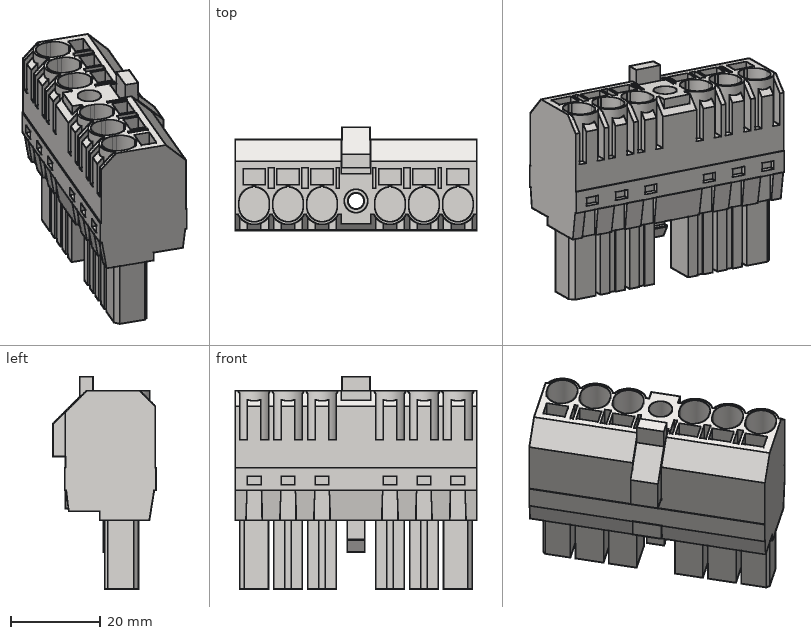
import cadquery as cq


length = 54.25
front_y = 0.0
back_y = 20.2
top_z = 44.6
body_bottom_z = 15.45
front_chamfer = 3.5
back_chamfer = 4.85

belt_proud = 0.2
belt_back_proud = 0.15
belt_bottom_z = 22.2
belt_top_z = 27.3

skirt_inset = 0.2
skirt_taper = 1.1
back_skirt_taper = 0.55
back_step_y = 12.5
back_step_z = 17.45

pole_span = 45.7
pitch = pole_span / 6
pole_positions = [index * pitch for index in (-3, -2, -1, 1, 2, 3)]

funnel_radius = 3.4
funnel_straight = 1.0
funnel_center_y = 5.7
sleeve_radius = 4.0
cavity_depth = 16.25

key_width = 0.8
key_depth = 0.1

relief_width = 6.45
relief_bottom_z = 33.6
tongue_width = 3.05

release_width = 5.0
release_front_y = 10.15
release_back_y = 13.7

marker_slots = [(-19.05, 1.3), (-11.45, 1.4), (-4.1, 0.7), (4.1, 0.7), (11.45, 1.4), (18.75, 0.7)]
marker_front_y = 9.35
marker_back_y = 13.9

window_width = 3.1
window_bottom_z = 23.45
window_top_z = 25.4
window_depth = 1.3

recess_floor_y = 1.85
recess_mouth_width = 3.3
recess_floor_width = 3.7

plug_width = 6.45
plug_front_y = 3.75
plug_back_y = 11.35
plug_front_chamfer = 1.05
plug_back_chamfer = 0.65
groove_width = 1.5
groove_depth = 0.45

center_width = 6.6
block_front_y = 1.3
screw_y = 6.45
screw_diameter = 3.6
screw_head_diameter = 5.25

hook_width = 4.0
hook_back_y = 11.7
hook_arm_y = 10.1
hook_barb_y = 8.95
hook_tip_y = 10.5
hook_bottom_z = 8.3
hook_barb_z = 10.95
hook_ledge_z = 11.25

pad_bottom_z = 18.05

latch_width = 6.3
latch_front_y = 13.95
latch_tab_back_y = 17.0
latch_back_y = 23.0
latch_bottom_z = 29.7
latch_shoulder_z = 37.1
latch_top_z = 47.7
latch_slope_top_z = latch_shoulder_z + latch_back_y - latch_tab_back_y
latch_pocket_front_y = 12.55


def box(x_center, width, y_range, z_range):
    """Box centred on x_center that spans the given ranges in Y and Z."""
    y_min, y_max = y_range
    z_min, z_max = z_range
    corner = (x_center - width / 2, y_min, z_min)
    return cq.Workplane("XY").box(width, y_max - y_min, z_max - z_min, centered=False).translate(corner)


def bar(points, width):
    """Bar along X, centred on X = 0, with a (Y, Z) outline."""
    return cq.Workplane("YZ").polyline(points).close().extrude(width / 2, both=True)


def oval_column(x_center, radius, bottom_z):
    """Upright column with an oval section, from bottom_z to the housing top."""
    return (
        cq.Workplane("XY", origin=(x_center, funnel_center_y, bottom_z))
        .slot2D(2 * radius + funnel_straight, 2 * radius, 90)
        .extrude(top_z - bottom_z)
    )


def housing_block():
    skirt_front_y = front_y + skirt_inset
    skirt_back_y = back_y - skirt_inset
    return bar(
        [
            (front_y + front_chamfer, top_z),
            (front_y, top_z - front_chamfer),
            (front_y, belt_top_z),
            (front_y - belt_proud, belt_top_z),
            (front_y - belt_proud, belt_bottom_z),
            (skirt_front_y, belt_bottom_z),
            (skirt_front_y + skirt_taper, body_bottom_z),
            (back_step_y, body_bottom_z),
            (back_step_y, back_step_z),
            (skirt_back_y - back_skirt_taper, back_step_z),
            (skirt_back_y, belt_bottom_z),
            (back_y + belt_back_proud, belt_bottom_z),
            (back_y + belt_back_proud, belt_top_z),
            (back_y, belt_top_z),
            (back_y, top_z - back_chamfer),
            (back_y - back_chamfer, top_z),
        ],
        length,
    )


def relief_slots(x):
    """Cut on both sides of the tongue, from the front face into the space of the sleeve."""
    z_range = (relief_bottom_z, top_z)
    opening = box(x, relief_width, (front_y, funnel_center_y), z_range)
    tongue = box(x, tongue_width, (front_y, funnel_center_y), z_range)
    return opening.cut(tongue)


def funnel(x):
    """Oval conductor opening with a key groove at its back."""
    bottom_z = top_z - cavity_depth
    funnel_back_y = funnel_center_y + funnel_straight / 2 + funnel_radius
    key = box(x, key_width, (funnel_center_y, funnel_back_y + key_depth), (bottom_z, top_z))
    return oval_column(x, funnel_radius, bottom_z).union(key)


def skirt_recess(x):
    mouth_y = front_y + skirt_inset
    return (
        cq.Workplane("XY", origin=(x, 0, body_bottom_z))
        .polyline(
            [
                (-recess_mouth_width / 2, mouth_y),
                (recess_mouth_width / 2, mouth_y),
                (recess_floor_width / 2, recess_floor_y),
                (-recess_floor_width / 2, recess_floor_y),
            ]
        )
        .close()
        .extrude(belt_bottom_z - body_bottom_z)
    )


def contact_plug(x):
    """Plug below a pole: outer plugs have chamfered outer edges, inner ones a front groove."""
    plug = box(x, plug_width, (plug_front_y, plug_back_y), (0, body_bottom_z))
    if x not in (pole_positions[0], pole_positions[-1]):
        groove = box(x, groove_width, (plug_front_y, plug_front_y + groove_depth), (0, body_bottom_z))
        return plug.cut(groove)
    outer_side = "<X" if x < 0 else ">X"
    plug = plug.faces(outer_side).edges("<Y").chamfer(plug_front_chamfer)
    return plug.faces(outer_side).edges(">Y").chamfer(plug_back_chamfer)


def snap_hook():
    return bar(
        [
            (hook_back_y, body_bottom_z),
            (hook_back_y, hook_bottom_z),
            (hook_tip_y, hook_bottom_z),
            (hook_barb_y, hook_barb_z),
            (hook_barb_y, hook_ledge_z),
            (hook_arm_y, hook_ledge_z),
            (hook_arm_y, body_bottom_z),
        ],
        hook_width,
    )


def screw_hole():
    through = (
        cq.Workplane("XY", origin=(0, screw_y, body_bottom_z))
        .circle(screw_diameter / 2)
        .extrude(top_z - body_bottom_z)
    )
    head = (
        cq.Workplane("XY", origin=(0, screw_y, top_z - cavity_depth))
        .circle(screw_head_diameter / 2)
        .extrude(cavity_depth)
    )
    return through.union(head)


def make_housing():
    cavity_z = (top_z - cavity_depth, top_z)
    belt_front_y = front_y - belt_proud
    housing = housing_block()

    for x in pole_positions:
        housing = housing.cut(relief_slots(x))
        housing = housing.union(oval_column(x, sleeve_radius, relief_bottom_z))
        housing = housing.union(contact_plug(x))

    block_z = (top_z - front_chamfer, top_z)
    housing = housing.union(box(0, center_width, (block_front_y, screw_y), block_z))
    housing = housing.cut(screw_hole())
    housing = housing.union(snap_hook())
    pad_y = (back_step_y, back_y)
    housing = housing.union(box(0, center_width, pad_y, (pad_bottom_z, belt_bottom_z)))
    pocket_y = (latch_pocket_front_y, latch_back_y)
    housing = housing.cut(box(0, center_width, pocket_y, (latch_bottom_z, top_z)))

    for x in pole_positions:
        housing = housing.cut(funnel(x))
        housing = housing.cut(box(x, release_width, (release_front_y, release_back_y), cavity_z))
        window_y = (belt_front_y, belt_front_y + window_depth)
        housing = housing.cut(box(x, window_width, window_y, (window_bottom_z, window_top_z)))
        housing = housing.cut(skirt_recess(x))

    for x, width in marker_slots:
        marker_y = (marker_front_y, marker_back_y)
        housing = housing.cut(box(x, width, marker_y, cavity_z))
    return housing


def make_latch():
    """Latch with an upright tab and a sloped shoulder, resting on the floor of its pocket."""
    return bar(
        [
            (latch_front_y, latch_bottom_z),
            (latch_front_y, latch_top_z),
            (latch_tab_back_y, latch_top_z),
            (latch_tab_back_y, latch_slope_top_z),
            (latch_back_y, latch_shoulder_z),
            (latch_back_y, latch_bottom_z),
        ],
        latch_width,
    )


housing = make_housing()
latch = make_latch()

result = cq.Compound.makeCompound([housing.solids().val(), latch.val()])